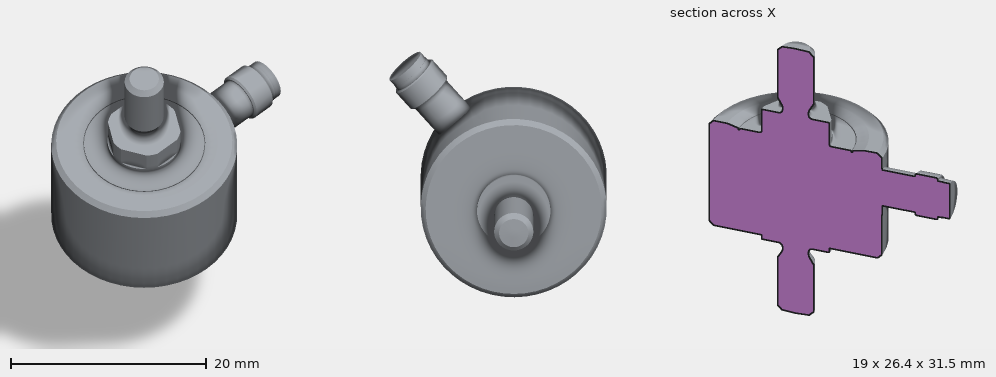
import cadquery as cq
import math

body_radius = 19.0 / 2
body_height = 12.5
body_chamfer = 0.5

recess_top_radius = 15.0 / 2
recess_floor_radius = 6.15
recess_depth = 0.3
recess_gap_radius = 6.25
recess_gap_depth = 0.15

collar_radius = 7.5 / 2
top_collar_height = 2.5
bottom_collar_height = 0.5
collar_root_fillet = 0.2

flat_count = 6
across_flats = 7.0
flat_start_height = 0.28

stud_radius = 4.0 / 2
stud_length = 8.0
stud_neck_radius = 2.9 / 2
stud_root_fillet = 0.4
stud_neck_end = 0.82
stud_shank_start = 1.75
stud_relief_fillet = 0.5
stud_tip_chamfer = 0.5
stud_tip_rise = 0.08

connector_reach = 26.4 - body_radius
connector_height = body_height - 4.03
connector_radius = 4.3 / 2
connector_tip_radius = 4.25 / 2
connector_tip_length = 0.8
sleeve_radius = 5.0 / 2
sleeve_setback = 1.32
sleeve_length = 2.52
sleeve_front_chamfer = 0.13
sleeve_rear_chamfer = 0.2


def make_body():
    drum = cq.Workplane("XY").circle(body_radius).extrude(body_height)
    drum = drum.edges().chamfer(body_chamfer)
    recess_floor = body_height - recess_depth
    recess = (
        cq.Workplane("XZ")
        .moveTo(0, recess_floor)
        .lineTo(recess_floor_radius, recess_floor)
        .lineTo(recess_floor_radius, recess_floor - recess_gap_depth)
        .lineTo(recess_gap_radius, recess_floor - recess_gap_depth)
        .lineTo(recess_gap_radius, recess_floor)
        .lineTo(recess_top_radius, body_height)
        .lineTo(0, body_height)
        .close()
        .revolve(360, (0, 0), (0, 1))
    )
    return drum.cut(recess)


def make_top_collar():
    """Round collar on the recess floor, with a filleted root and wrench flats."""
    floor = body_height - recess_depth
    top = body_height + top_collar_height
    root_side = 1 - math.sqrt(0.5)
    collar = (
        cq.Workplane("XZ")
        .moveTo(0, floor)
        .lineTo(collar_radius + collar_root_fillet, floor)
        .threePointArc(
            (collar_radius + collar_root_fillet * root_side, floor + collar_root_fillet * root_side),
            (collar_radius, floor + collar_root_fillet),
        )
        .lineTo(collar_radius, top)
        .lineTo(0, top)
        .close()
        .revolve(360, (0, 0), (0, 1))
    )
    flat_bottom = body_height + flat_start_height
    flat_cutter = cq.Workplane("XY").box(
        collar_radius, 2 * collar_radius, top - flat_bottom, centered=(False, True, False)
    ).translate((across_flats / 2, 0, flat_bottom))
    for index in range(flat_count):
        collar = collar.cut(flat_cutter.rotate((0, 0, 0), (0, 0, 1), index * 360 / flat_count))
    return collar


def make_bottom_collar():
    return cq.Workplane("XY").circle(collar_radius).extrude(-bottom_collar_height)


def make_stud():
    """Stud standing on Z = 0 and pointing along +Z."""
    root_side = 1 - math.sqrt(0.5)
    neck_step = stud_radius - stud_neck_radius
    cone_angle = math.atan2(neck_step, stud_shank_start - stud_neck_end)
    tangent = stud_relief_fillet * math.tan(cone_angle / 2)
    arc_start = stud_neck_end - tangent

    def relief_point(angle):
        return (
            stud_neck_radius + stud_relief_fillet * (1 - math.cos(angle)),
            arc_start + stud_relief_fillet * math.sin(angle),
        )

    return (
        cq.Workplane("XZ")
        .lineTo(stud_neck_radius + stud_root_fillet, 0)
        .threePointArc(
            (stud_neck_radius + stud_root_fillet * root_side, stud_root_fillet * root_side),
            (stud_neck_radius, stud_root_fillet),
        )
        .lineTo(stud_neck_radius, arc_start)
        .threePointArc(relief_point(cone_angle / 2), relief_point(cone_angle))
        .lineTo(stud_radius, stud_shank_start)
        .lineTo(stud_radius, stud_length - stud_tip_rise - stud_tip_chamfer)
        .lineTo(stud_radius - stud_tip_chamfer, stud_length - stud_tip_rise)
        .lineTo(0, stud_length)
        .close()
        .revolve(360, (0, 0), (0, 1))
    )


def make_connector():
    def cylinder(radius, start, length):
        """Cylinder along the connector axis, growing toward +Y."""
        plane = cq.Workplane("XZ", origin=(0, start, connector_height))
        return plane.circle(radius).extrude(-length)

    tip_start = connector_reach - connector_tip_length
    sleeve_start = connector_reach - sleeve_setback - sleeve_length
    barrel_start = body_radius / 2
    barrel = cylinder(connector_radius, barrel_start, tip_start - barrel_start)
    tip = cylinder(connector_tip_radius, tip_start, connector_tip_length)
    sleeve = cylinder(sleeve_radius, sleeve_start, sleeve_length)
    sleeve = sleeve.faces(">Y").chamfer(sleeve_front_chamfer)
    sleeve = sleeve.faces("<Y").chamfer(sleeve_rear_chamfer)
    return barrel.union(tip).union(sleeve)


top_stud = make_stud().translate((0, 0, body_height + top_collar_height))
bottom_stud = make_stud().mirror("XY").translate((0, 0, -bottom_collar_height))

result = (
    make_body()
    .union(make_connector())
    .union(make_top_collar())
    .union(make_bottom_collar())
    .union(top_stud)
    .union(bottom_stud)
)